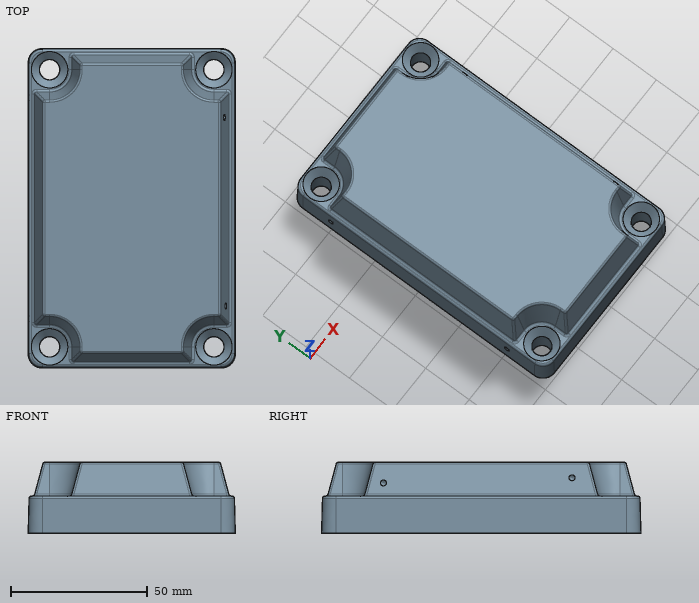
import cadquery as cq
import math

length_x = 76.2
length_y = 117.4
height = 26.2

land_z = 13.7
base_draft = 1.5
base_corner_radius = 5.3
base_edge_round = 0.9

body_draft = 15.0
body_inset = 2.2
body_edge_round = 0.8
foot_fillet = 1.0

screw_spacing_x = 60.4
screw_spacing_y = 101.8
screw_hole_diameter = 7.4
sink_diameter = 13.4
sink_angle = 90.0
pocket_radius = 8.0

dimple_diameter = 2.2
dimple_angle = 90.0
side_dimple_z = 7.0
side_dimple_y = 40.6
slope_dimples = [(33.4, 20.4), (-35.9, 18.5)]

screw_points = [
    (sx * screw_spacing_x / 2, sy * screw_spacing_y / 2)
    for sx in (-1, 1)
    for sy in (-1, 1)
]
body_height = height - land_z


def drafted_run(rise, draft):
    """Horizontal shift of a drafted wall over a given rise."""
    return rise * math.tan(math.radians(draft))


def make_base():
    """Drafted plinth with round corners and a softened top edge."""
    base = (
        cq.Workplane("XY")
        .sketch()
        .rect(length_x, length_y)
        .vertices()
        .fillet(base_corner_radius)
        .finalize()
        .extrude(land_z, taper=base_draft)
    )
    return base.faces(">Z").edges().fillet(base_edge_round)


def make_pocket(x, y):
    """Flared corner cut, concentric with the screw on its inner side."""
    side_x = math.copysign(1, x)
    side_y = math.copysign(1, y)
    inner_x = x - side_x * pocket_radius
    inner_y = y - side_y * pocket_radius
    outer_x = side_x * length_x / 2
    outer_y = side_y * length_y / 2
    arc_shift = pocket_radius * math.sqrt(0.5)
    return (
        cq.Workplane("XY", origin=(0, 0, land_z))
        .moveTo(outer_x, outer_y)
        .lineTo(outer_x, inner_y)
        .lineTo(x, inner_y)
        .threePointArc((x - side_x * arc_shift, y - side_y * arc_shift), (inner_x, y))
        .lineTo(inner_x, outer_y)
        .close()
        .extrude(body_height, taper=-body_draft)
    )


def make_body():
    """Drafted block with flared corner pockets and rounded edges."""
    body = (
        cq.Workplane("XY", origin=(0, 0, land_z))
        .rect(length_x - 2 * body_inset, length_y - 2 * body_inset)
        .extrude(body_height, taper=body_draft)
    )
    for x, y in screw_points:
        body = body.cut(make_pocket(x, y))
    lean = drafted_run(1, body_draft)
    for lean_x, lean_y in [(lean, lean), (lean, -lean), (-lean, lean), (-lean, -lean)]:
        tip_edges = cq.selectors.ParallelDirSelector(cq.Vector(lean_x, lean_y, 1))
        body = body.edges(tip_edges).fillet(body_edge_round)
    return body.faces(">Z").edges().fillet(body_edge_round)


def join_with_foot_fillet(base, body):
    """Join body and plinth, blending the foot of the body into the land."""
    joined = base.union(body)
    land = joined.faces("+Z").faces(">Z[-2]")
    foot = land.val().innerWires()[0]
    return joined.newObject(foot.Edges()).fillet(foot_fillet)


def make_screw_holes():
    """Through holes with conical countersinks, to be cut from the corners."""
    sink_radius = sink_diameter / 2
    hole_radius = screw_hole_diameter / 2
    sink_depth = (sink_radius - hole_radius) / math.tan(math.radians(sink_angle / 2))
    profile = (
        cq.Workplane("XZ")
        .moveTo(0, 0)
        .lineTo(hole_radius, 0)
        .lineTo(hole_radius, land_z - sink_depth)
        .lineTo(sink_radius, land_z)
        .lineTo(sink_radius, height)
        .lineTo(0, height)
        .close()
    )
    cutter = profile.revolve(360, (0, 0, 0), (0, 1, 0))
    return [cutter.translate((x, y, 0)) for x, y in screw_points]


def make_dimple(mouth, inward):
    """Cone with its mouth centred on a wall point and its tip along inward."""
    radius = dimple_diameter / 2
    depth = radius / math.tan(math.radians(dimple_angle / 2))
    cone = cq.Solid.makeCone(radius, 0, depth, pnt=cq.Vector(*mouth), dir=cq.Vector(*inward))
    return cq.Workplane(cone)


def inward_normal(side, draft):
    """Unit vector into the wall on the -X (side -1) or +X (side 1) face."""
    angle = math.radians(draft)
    return (-side * math.cos(angle), 0, -math.sin(angle))


def make_dimples():
    """Two dimples in the -X plinth wall and two in the +X slope."""
    dimples = []
    wall_x = -length_x / 2 + drafted_run(side_dimple_z, base_draft)
    for y in (-side_dimple_y, side_dimple_y):
        dimples.append(make_dimple((wall_x, y, side_dimple_z), inward_normal(-1, base_draft)))
    for y, z in slope_dimples:
        slope_x = length_x / 2 - body_inset - drafted_run(z - land_z, body_draft)
        dimples.append(make_dimple((slope_x, y, z), inward_normal(1, body_draft)))
    return dimples


result = join_with_foot_fillet(make_base(), make_body())
for cutter in make_screw_holes() + make_dimples():
    result = result.cut(cutter)